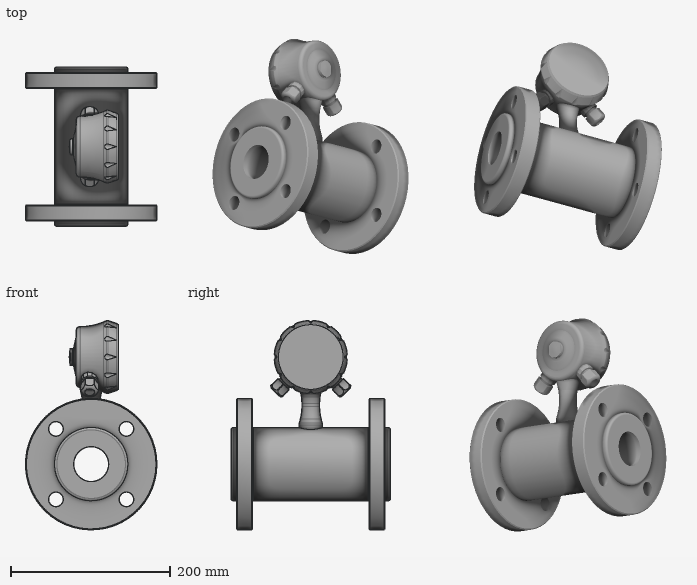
import cadquery as cq
import math

LENGTH = 200.0
PIPE_DIA = 92.0
BORE_DIA = 43.5
FACE_FILLET = 3.0
FLANGE_DIA = 165.0
FLANGE_THICKNESS = 20.0
RAISED_FACE = 7.0
SEAM_DEPTH = 0.9
FLANGE_CHAMFER = 1.3
BOLT_CIRCLE_DIA = 125.0
BOLT_HOLE_DIA = 18.0
BOLT_COUNT = 4

NECK_ROOT_Z = 30.0
NECK_FOOT_RADIUS = 15.0
NECK_FOOT_TOP = 49.0
NECK_SHOULDER_RADIUS = 14.5
NECK_SHOULDER_TOP = 51.6
NECK_TAPER_RADIUS = 13.2
NECK_TAPER_Z = 56.4
NECK_WAIST_RADIUS = 11.2
NECK_WAIST_BOTTOM = 72.2
NECK_WAIST_TOP = 76.3
NECK_FLARE_RADIUS = 11.8
NECK_FLARE_Z = 84.5
NECK_TOP_RADIUS = 14.7
NECK_TOP_Z = 98.0

HEAD_Z = 134.36
HEAD_FRONT_X = -18.75
HEAD_FRONT_FILLET = 4.5
BODY_RADIUS = 38.2
BODY_CURVE_X = -13.5
NOSE_BASE_RADIUS = 25.9
NOSE_BREAK_X = -21.3
NOSE_BREAK_RADIUS = 15.2
NOSE_TIP_X = -21.9
NOSE_TIP_RADIUS = 11.75
CAP_SEAM_X = 15.2
CAP_SEAM_RADIUS = 43.9
CAP_RIDGE_X = 20.2
CAP_RIDGE_RADIUS = 46.15
CAP_RIDGE_FILLET = 2.0
CAP_EDGE_X = 31.7
CAP_EDGE_RADIUS = 42.2
CAP_BACK_X = 34.3
CAP_BACK_RADIUS = 40.6

NOTCH_COUNT = 12
NOTCH_HALF_ANGLE = 20.0
NOTCH_TILT = 29.3
NOTCH_CONE_LENGTH = 20.0

PLUG_COLLAR_DIA = 21.0
PLUG_COLLAR_X = -23.5
PLUG_DIA = 20.8
PLUG_SHOULDER_X = -26.6
PLUG_TIP_X = -27.6
PLUG_FLATS = 18.0
PLUG_FLATS_X = -25.2

GLAND_X = -1.9
GLAND_ANGLES = (135, 225)
GLAND_BASE_END = 44.5
GLAND_BASE_SIDES = 12
GLAND_BASE_FLATS = 21.0
GLAND_COLLAR_DIA = 16.69
NUT_START = 48.2
NUT_END = 62.6
NUT_SIDES = 6
NUT_FLATS = 20.0
NUT_ROUND_DIA = 22.6
NUT_DOME_RADIUS = 5.0
CABLE_HOLE_DIA = 12.0
CABLE_HOLE_DEPTH = 10.0


def y_cylinder(diameter, y_start, y_end):
    """Solid cylinder along the Y axis between two stations."""
    disc = cq.Workplane("XZ", origin=(0, y_start, 0)).circle(diameter / 2)
    return disc.extrude(y_start - y_end)


def make_flange(side):
    """Drilled flange near the end of the pipe given by side (+1 or -1)."""
    outer_y = side * (LENGTH / 2 - RAISED_FACE)
    inner_y = outer_y - side * FLANGE_THICKNESS
    flange = y_cylinder(FLANGE_DIA, inner_y, outer_y).edges().chamfer(FLANGE_CHAMFER)
    holes = (
        cq.Workplane("XZ", origin=(0, inner_y, 0))
        .polarArray(BOLT_CIRCLE_DIA / 2, 180 / BOLT_COUNT, 360, BOLT_COUNT)
        .circle(BOLT_HOLE_DIA / 2)
        .extrude(-side * FLANGE_THICKNESS)
    )
    return flange.cut(holes)


def make_pipe():
    """Solid pipe over the full length, its rounded ends forming the raised faces."""
    return y_cylinder(PIPE_DIA, -LENGTH / 2, LENGTH / 2).edges().fillet(FACE_FILLET)


def make_seam(side):
    """V-groove around the pipe where it meets the inner face of a flange."""
    face_y = side * (LENGTH / 2 - RAISED_FACE - FLANGE_THICKNESS)
    radius = PIPE_DIA / 2
    profile = (
        cq.Workplane("XY")
        .moveTo(radius - SEAM_DEPTH, face_y)
        .lineTo(radius, face_y)
        .lineTo(radius, face_y - side * SEAM_DEPTH)
        .close()
    )
    return profile.revolve(360, (0, 0, 0), (0, 1, 0))


def make_neck():
    """Waisted stem, turned about Z."""
    profile = (
        cq.Workplane("XZ")
        .moveTo(0, NECK_ROOT_Z)
        .lineTo(NECK_FOOT_RADIUS, NECK_ROOT_Z)
        .lineTo(NECK_FOOT_RADIUS, NECK_FOOT_TOP)
        .lineTo(NECK_SHOULDER_RADIUS, NECK_SHOULDER_TOP)
        .lineTo(NECK_TAPER_RADIUS, NECK_TAPER_Z)
        .tangentArcPoint((NECK_WAIST_RADIUS, NECK_WAIST_BOTTOM), relative=False)
        .lineTo(NECK_WAIST_RADIUS, NECK_WAIST_TOP)
        .lineTo(NECK_FLARE_RADIUS, NECK_FLARE_Z)
        .lineTo(NECK_TOP_RADIUS, NECK_TOP_Z)
        .lineTo(0, NECK_TOP_Z)
        .close()
    )
    return profile.revolve(360, (0, 0, 0), (0, 1, 0))


def turned_on_head(profile):
    """Revolve an (x, radius) profile about the X axis and lift it to the head axis."""
    return profile.revolve(360, (0, 0, 0), (1, 0, 0)).translate((0, 0, HEAD_Z))


def make_body():
    """Housing with a flat nose cone, rounded front rim and hollow-curved flank."""
    run = CAP_SEAM_X - BODY_CURVE_X
    rise = CAP_SEAM_RADIUS - BODY_RADIUS
    flank_radius = (run**2 + rise**2) / (2 * rise)
    half_angle = math.atan2(rise, run)
    mid_x = BODY_CURVE_X + flank_radius * math.sin(half_angle)
    mid_radius = BODY_RADIUS + flank_radius * (1 - math.cos(half_angle))
    rim_radius = BODY_RADIUS - HEAD_FRONT_FILLET
    profile = (
        cq.Workplane("XZ")
        .moveTo(NOSE_TIP_X, 0)
        .lineTo(NOSE_TIP_X, NOSE_TIP_RADIUS)
        .lineTo(NOSE_BREAK_X, NOSE_BREAK_RADIUS)
        .lineTo(HEAD_FRONT_X, NOSE_BASE_RADIUS)
        .lineTo(HEAD_FRONT_X, rim_radius)
        .tangentArcPoint((HEAD_FRONT_X + HEAD_FRONT_FILLET, BODY_RADIUS), relative=False)
        .lineTo(BODY_CURVE_X, BODY_RADIUS)
        .threePointArc((mid_x, mid_radius), (CAP_SEAM_X, CAP_SEAM_RADIUS))
        .lineTo(CAP_SEAM_X, 0)
        .close()
    )
    return turned_on_head(profile)


def make_cap():
    """Screw cap with a rounded ridge, tapering to the back."""
    profile = (
        cq.Workplane("XZ")
        .moveTo(CAP_SEAM_X, 0)
        .lineTo(CAP_SEAM_X, CAP_SEAM_RADIUS)
        .lineTo(CAP_RIDGE_X, CAP_RIDGE_RADIUS)
        .lineTo(CAP_EDGE_X, CAP_EDGE_RADIUS)
        .lineTo(CAP_BACK_X, CAP_BACK_RADIUS)
        .lineTo(CAP_BACK_X, 0)
        .close()
    )
    cap = turned_on_head(profile)
    ridge = cq.selectors.BoxSelector(
        ((CAP_SEAM_X + CAP_RIDGE_X) / 2, -CAP_RIDGE_RADIUS, 0),
        ((CAP_RIDGE_X + CAP_EDGE_X) / 2, CAP_RIDGE_RADIUS, 2 * HEAD_Z),
    )
    return cap.edges(ridge).fillet(CAP_RIDGE_FILLET)


def make_notches():
    """Drop-shaped dents: tilted cones with their points on the back edge of the cap."""
    mouth_radius = NOTCH_CONE_LENGTH * math.tan(math.radians(NOTCH_HALF_ANGLE))
    groove = (
        cq.Workplane("XZ")
        .moveTo(0, 0)
        .lineTo(-NOTCH_CONE_LENGTH, mouth_radius)
        .lineTo(-NOTCH_CONE_LENGTH, 0)
        .close()
        .revolve(360, (0, 0, 0), (1, 0, 0))
        .rotate((0, 0, 0), (0, 1, 0), NOTCH_TILT)
        .translate((CAP_EDGE_X, 0, CAP_EDGE_RADIUS))
    )
    notches = cq.Workplane("XY")
    for index in range(NOTCH_COUNT):
        notches.add(groove.rotate((0, 0, 0), (1, 0, 0), index * 360 / NOTCH_COUNT).vals())
    return notches.combine().translate((0, 0, HEAD_Z))


def make_plug():
    """Collared plug on the nose with two wrench flats facing +Y and -Y."""
    profile = (
        cq.Workplane("XZ")
        .moveTo(HEAD_FRONT_X, 0)
        .lineTo(HEAD_FRONT_X, PLUG_COLLAR_DIA / 2)
        .lineTo(PLUG_COLLAR_X, PLUG_COLLAR_DIA / 2)
        .lineTo(PLUG_COLLAR_X, PLUG_DIA / 2)
        .lineTo(PLUG_SHOULDER_X, PLUG_DIA / 2)
        .lineTo(PLUG_TIP_X, 0)
        .close()
    )
    plug = turned_on_head(profile)
    flat_depth = (PLUG_DIA - PLUG_FLATS) / 2
    for side in (1, -1):
        relief = cq.Workplane("XY").box(
            PLUG_FLATS_X - PLUG_TIP_X, flat_depth, PLUG_DIA, centered=(False, True, True)
        )
        offset = side * (PLUG_FLATS + flat_depth) / 2
        plug = plug.cut(relief.translate((PLUG_TIP_X, offset, HEAD_Z)))
    return plug


def make_gland():
    """Cable gland along +Z, measured from the head axis: faceted base, collar, domed nut, cable hole."""
    base = (
        cq.Workplane("XY")
        .polygon(GLAND_BASE_SIDES, GLAND_BASE_FLATS, circumscribed=True)
        .extrude(GLAND_BASE_END)
    )
    collar = cq.Workplane("XY").circle(GLAND_COLLAR_DIA / 2).extrude(NUT_START)
    nut = (
        cq.Workplane("XY", origin=(0, 0, NUT_START))
        .transformed(rotate=(0, 0, 180 / NUT_SIDES))
        .polygon(NUT_SIDES, NUT_FLATS, circumscribed=True)
        .extrude(NUT_END - NUT_START)
    )
    dome = (
        cq.Workplane("XZ")
        .moveTo(0, NUT_START)
        .lineTo(NUT_ROUND_DIA / 2, NUT_START)
        .lineTo(NUT_ROUND_DIA / 2, NUT_END - NUT_DOME_RADIUS)
        .tangentArcPoint((-NUT_DOME_RADIUS, NUT_DOME_RADIUS))
        .lineTo(0, NUT_END)
        .close()
        .revolve(360, (0, 0, 0), (0, 1, 0))
    )
    hole = (
        cq.Workplane("XY", origin=(0, 0, NUT_END))
        .circle(CABLE_HOLE_DIA / 2)
        .extrude(-CABLE_HOLE_DEPTH)
    )
    return base.union(collar).union(nut.intersect(dome)).cut(hole)


head = make_body().union(make_cap()).union(make_plug()).cut(make_notches(), clean=False)
gland = make_gland()
for angle in GLAND_ANGLES:
    head = head.union(gland.rotate((0, 0, 0), (1, 0, 0), angle).translate((GLAND_X, 0, HEAD_Z)))

pipe = make_pipe()
for end in (1, -1):
    pipe = pipe.cut(make_seam(end)).union(make_flange(end))

meter = pipe.union(make_neck()).union(head)
result = meter.cut(y_cylinder(BORE_DIA, -LENGTH / 2, LENGTH / 2))